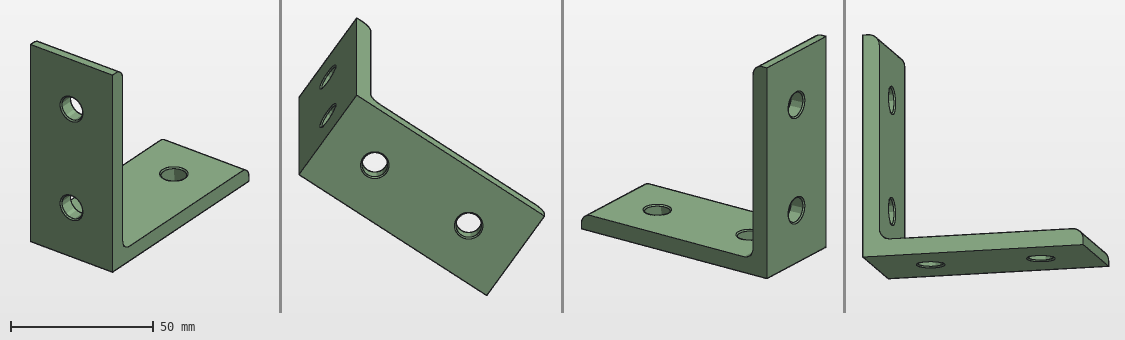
import cadquery as cq

width = 36.0
leg_length = 80.0
thickness = 6.0
toe_radius = 4.0
root_radius = 4.0

hole_diameter = 9.0
hole_chamfer = 0.5
hole_spacing = 40.0
first_hole_distance = 20.0
hole_distances = [first_hole_distance, first_hole_distance + hole_spacing]


def make_angle():
    """Extrude the L-shaped section, then round the inner toes and the root."""
    section = [
        (0, 0),
        (leg_length, 0),
        (leg_length, thickness),
        (thickness, thickness),
        (thickness, leg_length),
        (0, leg_length),
    ]
    angle = cq.Workplane("YZ").polyline(section).close().extrude(width / 2, both=True)
    root_edge = cq.selectors.NearestToPointSelector((0, thickness, thickness))
    flat_toe_edge = cq.selectors.NearestToPointSelector((0, leg_length, thickness))
    upright_toe_edge = cq.selectors.NearestToPointSelector((0, thickness, leg_length))
    angle = angle.edges(root_edge).fillet(root_radius)
    angle = angle.edges(flat_toe_edge).fillet(toe_radius)
    return angle.edges(upright_toe_edge).fillet(toe_radius)


def make_hole_cutter():
    """Revolve a cutter about Z, spanning the leg thickness, chamfered at both ends."""
    bore_radius = hole_diameter / 2
    mouth_radius = bore_radius + hole_chamfer
    half_profile = [
        (0, 0),
        (mouth_radius, 0),
        (bore_radius, hole_chamfer),
        (bore_radius, thickness - hole_chamfer),
        (mouth_radius, thickness),
        (0, thickness),
    ]
    return cq.Workplane("XZ").polyline(half_profile).close().revolve(360, (0, 0), (0, 1))


def drill_holes(angle):
    """Cut the same row of holes through both legs."""
    flat_leg_cutter = make_hole_cutter()
    upright_leg_cutter = flat_leg_cutter.rotate((0, 0, 0), (1, 0, 0), -90)
    for distance in hole_distances:
        angle = angle.cut(flat_leg_cutter.translate((0, distance, 0)))
        angle = angle.cut(upright_leg_cutter.translate((0, 0, distance)))
    return angle


result = drill_holes(make_angle())